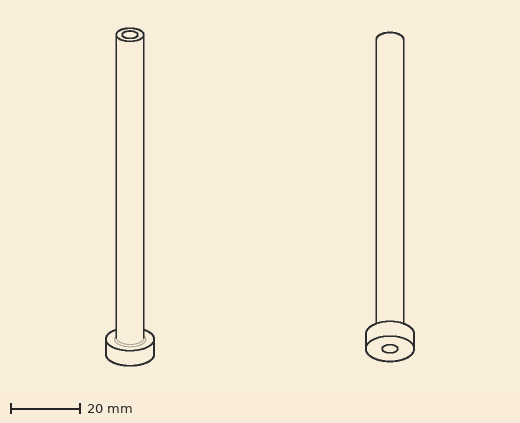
import cadquery as cq

total_length = 105.0
head_diameter = 14.0
head_thickness = 5.0
shank_diameter = 8.0
bore_diameter = 4.5
neck_fillet_radius = 0.5


def make_head():
    """Flat round head, resting on the XY plane."""
    return cq.Workplane("XY").circle(head_diameter / 2).extrude(head_thickness)


def add_shank(body):
    """Long round shank rising from the head to the full length."""
    shank = cq.Workplane("XY").circle(shank_diameter / 2).extrude(total_length)
    return body.union(shank)


def round_neck(body):
    """Fillet the inside corner where the shank meets the head."""
    corner_reach = shank_diameter / 2 + neck_fillet_radius
    neck_edge = cq.selectors.BoxSelector(
        (-corner_reach, -corner_reach, head_thickness - neck_fillet_radius),
        (corner_reach, corner_reach, head_thickness + neck_fillet_radius),
        boundingbox=True,
    )
    return body.edges(neck_edge).fillet(neck_fillet_radius)


def cut_bore(body):
    """Straight bore through the whole length."""
    bore = cq.Workplane("XY").circle(bore_diameter / 2).extrude(total_length)
    return body.cut(bore)


result = cut_bore(round_neck(add_shank(make_head())))